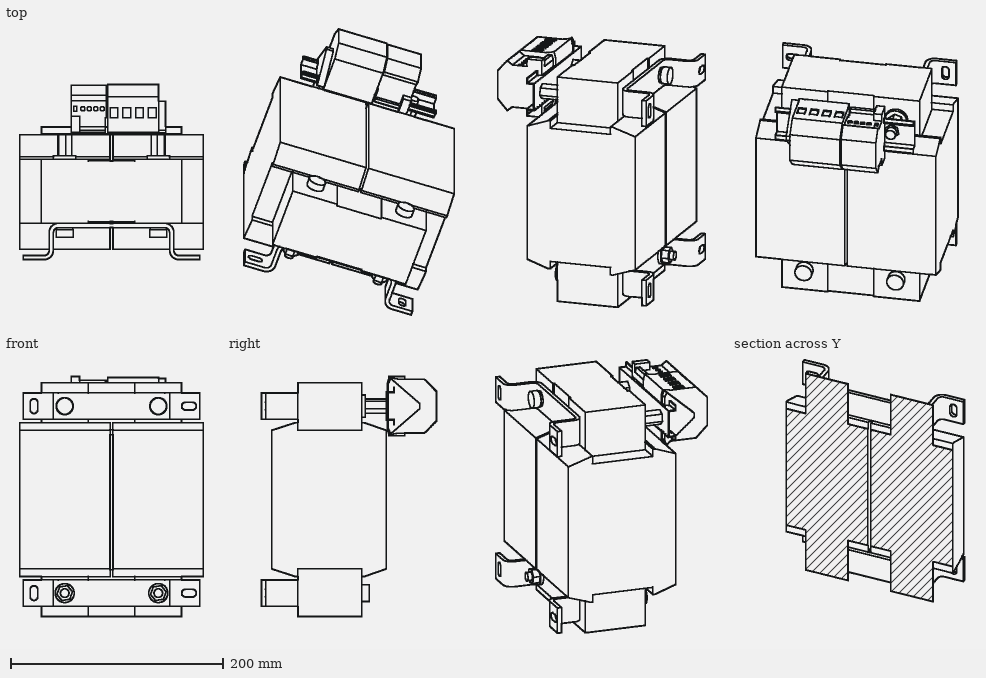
import cadquery as cq
import math

STRIP = 44.0
CORE_WIDTH = 3 * STRIP
CORE_HEIGHT = 220.1
CORE_FRONT = 34.4
CORE_BACK = 94.7
YOKE_INSET = 1.5
BOLT_X = STRIP
LOWER_BOLT_Z = STRIP / 2
UPPER_BOLT_Z = CORE_HEIGHT - STRIP / 2
MID_Z = CORE_HEIGHT / 2

COILS_WIDTH = 173.0
COIL_OUTER_X = COILS_WIDTH / 2
COIL_GAP = 2.5
COIL_FRONT = 9.7
COIL_BACK = 117.7
COIL_SHOULDER_Z = 175.4
COIL_CREST_Z = 182.5
CREST_MARGIN = 2.3

STRAP_THICKNESS = 4.0
STRAP_HEIGHT = 25.0
STRAP_END_X = 83.2
STRAP_WEB_X = 58.8
BEND_OUTER = 8.8
BEND_INNER = BEND_OUTER - STRAP_THICKNESS
SLOT_X = 73.0
SLOT_LENGTH = 13.5
SLOT_WIDTH = 7.0

HEAD_DIAMETER = 16.0
HEAD_HEIGHT = 7.0
HEAD_WASHER_DIAMETER = 15.0
HEAD_WASHER_THICKNESS = 2.0
NUT_WASHER_DIAMETER = 17.9
NUT_WASHER_THICKNESS = 2.7
NUT_ACROSS_CORNERS = 15.0
NUT_HEIGHT = 6.8
NUT_TURN = 10
STUD_DIAMETER = 8.1
STUD_TIP = 4.3
COLLAR_DIAMETER = 21.2
COLLAR_THICKNESS = 3.5
STANDOFF_ACROSS_CORNERS = 14.0
STANDOFF_TURN = 20

RAIL_BACK = 117.7
RAIL_DEPTH = 7.7
RAIL_SHEET = 1.0
RAIL_CHANNEL_HEIGHT = 26.7
RAIL_HEIGHT = 35.3
SCREW_DIAMETER = 9.5
SCREW_HEIGHT = 5.9

OVERALL_HEIGHT = 226
TOP_HALF = OVERALL_HEIGHT - UPPER_BOLT_Z
FACE_HALF = 14.0
BLOCK_FRONT = 120.2
BEVEL_BACK = 121.8
PORT_DEPTH = 1.1

SMALL_START_X = -38.0
MARKER_WIDTH = 8.0
SMALL_WIDTH = 6.0
SMALL_COUNT = 4
COVER_WIDTH = 1.1
COVER_FRONT = 133.5
SMALL_CREST_HALF = TOP_HALF - 3.5
SMALL_FLOOR_HALF = TOP_HALF - 7.2
SMALL_BEVEL_DROP = 4.5
SMALL_LIP_BACK = 125.2
SMALL_REAR = [(164.3, FACE_HALF), (154.8, SMALL_CREST_HALF), (149.5, SMALL_FLOOR_HALF)]
MARKER_STEP_Y = 135.1
SMALL_PORT_Y = 142.2
MARKER_PORT_WIDTH = 2.7
MARKER_PORT_LENGTH = 4.3
SMALL_PORT_DIAMETER = 4.0

LARGE_START_X = -3.6
LARGE_WIDTH = 12.0
LARGE_COUNT = 4
LARGE_TOP_HALF = TOP_HALF - 2.5
LARGE_PORT_Y = 138.5
LARGE_PORT_WIDTH = 7.2
LARGE_PORT_LENGTH = 9.5
LARGE_OUTLINE = [
    (165.2, FACE_HALF),
    (153.7, LARGE_TOP_HALF),
    (128.8, LARGE_TOP_HALF),
    (BLOCK_FRONT, TOP_HALF - 1.0),
    (118.6, TOP_HALF - 6.8),
]
STOP_WIDTH = 6.8
STOP_OUTLINE = [(149.4, 2.3), (BEVEL_BACK, TOP_HALF - 1.8), (119.8, TOP_HALF - 6.3)]


def box(x0, x1, y0, y1, z0, z1):
    return cq.Workplane("XY").box(x1 - x0, y1 - y0, z1 - z0, centered=False).translate((x0, y0, z0))


def rod(x, z, y0, y1, diameter):
    return cq.Workplane("XZ", origin=(x, y0, z)).circle(diameter / 2).extrude(y0 - y1)


def hex_rod(x, z, y0, y1, across_corners, turn):
    plane = cq.Workplane("XZ", origin=(x, y0, z))
    return plane.transformed(rotate=(0, 0, turn)).polygon(6, across_corners).extrude(y0 - y1)


def build_core():
    half_width = CORE_WIDTH / 2
    yoke_front = CORE_FRONT + YOKE_INSET
    yoke_back = CORE_BACK - YOKE_INSET
    leg_inner = half_width - STRIP
    core = box(-half_width, -leg_inner, CORE_FRONT, CORE_BACK, 0, CORE_HEIGHT)
    core = core.union(box(leg_inner, half_width, CORE_FRONT, CORE_BACK, 0, CORE_HEIGHT))
    for z in (0, CORE_HEIGHT - STRIP):
        core = core.union(box(-leg_inner, leg_inner, yoke_front, yoke_back, z, z + STRIP))
    return core


def build_coil(x0, x1):
    crest_front = CORE_FRONT - CREST_MARGIN
    crest_back = CORE_BACK + CREST_MARGIN
    upper = [
        (COIL_FRONT, COIL_SHOULDER_Z),
        (crest_front, COIL_CREST_Z),
        (CORE_FRONT, COIL_CREST_Z),
        (CORE_FRONT, COIL_SHOULDER_Z),
        (CORE_BACK, COIL_SHOULDER_Z),
        (CORE_BACK, COIL_CREST_Z),
        (crest_back, COIL_CREST_Z),
        (COIL_BACK, COIL_SHOULDER_Z),
    ]
    lower = [(y, 2 * MID_Z - z) for y, z in reversed(upper)]
    return cq.Workplane("YZ", origin=(x0, 0, 0)).polyline(upper + lower).close().extrude(x1 - x0)


def build_strap(z):
    half_height = STRAP_HEIGHT / 2
    plate_back = CORE_FRONT
    plate_front = plate_back - STRAP_THICKNESS
    web_inner = STRAP_WEB_X - STRAP_THICKNESS
    plate_end = STRAP_WEB_X - BEND_OUTER
    foot_start = web_inner + BEND_OUTER
    diagonal = math.sqrt(0.5)
    upper_y = plate_back - BEND_OUTER
    lower_y = BEND_OUTER

    def bend(centre_x, centre_y, radius, side):
        return (centre_x + side * radius * diagonal, centre_y + side * radius * diagonal)

    half = (
        cq.Workplane("XY", origin=(0, 0, z - half_height))
        .moveTo(0, plate_back)
        .lineTo(plate_end, plate_back)
        .threePointArc(bend(plate_end, upper_y, BEND_OUTER, 1), (STRAP_WEB_X, upper_y))
        .lineTo(STRAP_WEB_X, lower_y)
        .threePointArc(bend(foot_start, lower_y, BEND_INNER, -1), (foot_start, STRAP_THICKNESS))
        .lineTo(STRAP_END_X, STRAP_THICKNESS)
        .lineTo(STRAP_END_X, 0)
        .lineTo(foot_start, 0)
        .threePointArc(bend(foot_start, lower_y, BEND_OUTER, -1), (web_inner, lower_y))
        .lineTo(web_inner, upper_y)
        .threePointArc(bend(plate_end, upper_y, BEND_INNER, 1), (plate_end, plate_front))
        .lineTo(0, plate_front)
        .close()
        .extrude(STRAP_HEIGHT)
    )
    strap = half.union(half.mirror("YZ"))
    for x, angle in ((-SLOT_X, 90), (SLOT_X, 0)):
        plane = cq.Workplane("XZ", origin=(x, 0, z))
        strap = strap.cut(plane.slot2D(SLOT_LENGTH, SLOT_WIDTH, angle).extrude(-STRAP_THICKNESS))
    return strap


def build_bolts(side):
    x = side * BOLT_X
    strap_face = CORE_FRONT - STRAP_THICKNESS
    head_base = strap_face - HEAD_WASHER_THICKNESS
    nut_base = strap_face - NUT_WASHER_THICKNESS
    nut_face = nut_base - NUT_HEIGHT
    collar_face = CORE_BACK + COLLAR_THICKNESS
    rail_inner = RAIL_BACK + RAIL_SHEET
    turn = STANDOFF_TURN if side < 0 else -STANDOFF_TURN
    return [
        rod(x, UPPER_BOLT_Z, head_base, strap_face, HEAD_WASHER_DIAMETER),
        rod(x, UPPER_BOLT_Z, head_base - HEAD_HEIGHT, head_base, HEAD_DIAMETER),
        rod(x, UPPER_BOLT_Z, CORE_BACK, collar_face, COLLAR_DIAMETER),
        hex_rod(x, UPPER_BOLT_Z, collar_face, RAIL_BACK, STANDOFF_ACROSS_CORNERS, turn),
        rod(x, UPPER_BOLT_Z, rail_inner, rail_inner + SCREW_HEIGHT, SCREW_DIAMETER),
        rod(x, LOWER_BOLT_Z, nut_base, strap_face, NUT_WASHER_DIAMETER),
        hex_rod(x, LOWER_BOLT_Z, nut_face, nut_base, NUT_ACROSS_CORNERS, NUT_TURN),
        rod(x, LOWER_BOLT_Z, nut_face - STUD_TIP, nut_face, STUD_DIAMETER),
        rod(x, LOWER_BOLT_Z, CORE_BACK, CORE_BACK + HEAD_HEIGHT, HEAD_DIAMETER),
    ]


def extrude_mirrored(x0, width, upper):
    """Extrude along X an outline whose upper half (Y, height) mirrors about the rail centre."""
    outline = upper + [(y, -half) for y, half in reversed(upper)]
    return cq.Workplane("YZ", origin=(x0, 0, UPPER_BOLT_Z)).polyline(outline).close().extrude(width)


def build_rail():
    channel = RAIL_CHANNEL_HEIGHT / 2
    inner = channel - RAIL_SHEET
    edge = RAIL_HEIGHT / 2
    lip_back = RAIL_BACK + RAIL_DEPTH
    lip_front = lip_back - RAIL_SHEET
    upper = [
        (RAIL_BACK + RAIL_SHEET, inner),
        (lip_back, inner),
        (lip_back, edge),
        (lip_front, edge),
        (lip_front, channel),
        (RAIL_BACK, channel),
    ]
    return extrude_mirrored(-CORE_WIDTH / 2, CORE_WIDTH, upper)


def top_port(x, y, half):
    """Work plane on a block's top face, centred on its port."""
    return cq.Workplane("XY", origin=(x, y, UPPER_BOLT_Z + half))


def build_small_blocks():
    marker_outline = SMALL_REAR + [
        (MARKER_STEP_Y, SMALL_FLOOR_HALF),
        (MARKER_STEP_Y, TOP_HALF),
        (BLOCK_FRONT, TOP_HALF),
    ]
    terminal_outline = SMALL_REAR + [
        (SMALL_LIP_BACK, SMALL_FLOOR_HALF),
        (SMALL_LIP_BACK, SMALL_CREST_HALF),
        (BEVEL_BACK, SMALL_CREST_HALF),
        (BLOCK_FRONT, SMALL_CREST_HALF - SMALL_BEVEL_DROP),
    ]
    cover_outline = SMALL_REAR + [(COVER_FRONT, SMALL_FLOOR_HALF)]

    marker = extrude_mirrored(SMALL_START_X, MARKER_WIDTH, marker_outline)
    marker_port = top_port(SMALL_START_X + MARKER_WIDTH / 2, SMALL_PORT_Y, SMALL_FLOOR_HALF)
    blocks = [marker.cut(marker_port.rect(MARKER_PORT_WIDTH, MARKER_PORT_LENGTH).extrude(-PORT_DEPTH))]
    x = SMALL_START_X + MARKER_WIDTH
    for _ in range(SMALL_COUNT):
        terminal = extrude_mirrored(x, SMALL_WIDTH, terminal_outline)
        port = top_port(x + SMALL_WIDTH / 2, SMALL_PORT_Y, SMALL_FLOOR_HALF)
        blocks.append(terminal.cut(port.circle(SMALL_PORT_DIAMETER / 2).extrude(-PORT_DEPTH)))
        x += SMALL_WIDTH
    blocks.append(extrude_mirrored(x, COVER_WIDTH, cover_outline))
    return blocks


def build_large_blocks():
    blocks = []
    x = LARGE_START_X
    for _ in range(LARGE_COUNT):
        terminal = extrude_mirrored(x, LARGE_WIDTH, LARGE_OUTLINE)
        port = top_port(x + LARGE_WIDTH / 2, LARGE_PORT_Y, LARGE_TOP_HALF)
        blocks.append(terminal.cut(port.rect(LARGE_PORT_WIDTH, LARGE_PORT_LENGTH).extrude(-PORT_DEPTH)))
        x += LARGE_WIDTH
    blocks.append(extrude_mirrored(x, STOP_WIDTH, STOP_OUTLINE))
    return blocks


parts = [
    build_coil(-COIL_OUTER_X, -COIL_GAP / 2),
    build_coil(COIL_GAP / 2, COIL_OUTER_X),
    build_strap(UPPER_BOLT_Z),
    build_strap(LOWER_BOLT_Z),
    *build_bolts(-1),
    *build_bolts(1),
    build_rail(),
    *build_small_blocks(),
    *build_large_blocks(),
]
result = build_core()
for part in parts:
    result = result.union(part)